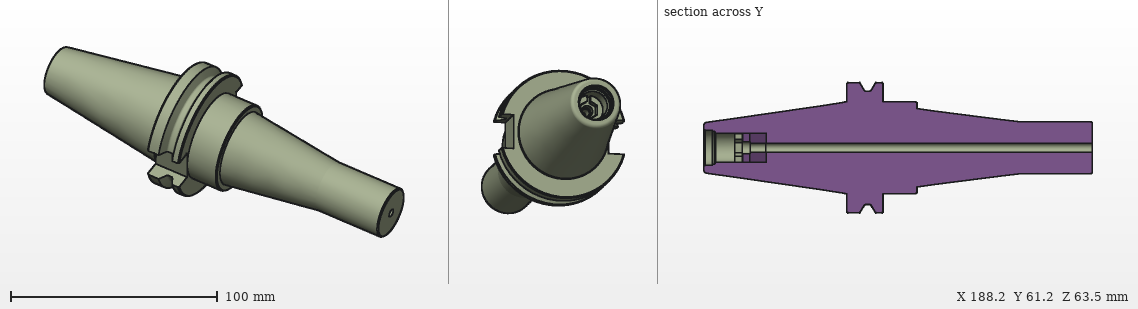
import cadquery as cq
import math

TOTAL_LENGTH = 188.2

GAUGE_DIAMETER = 44.5
TAPER_LENGTH = 68.3
TAPER_RATE = 7 / 24
SMALL_DIAMETER = GAUGE_DIAMETER - TAPER_LENGTH * TAPER_RATE
SMALL_END_FILLET = 1.9

FLANGE_DIAMETER = 63.5
FLANGE_START = 69.3
FLANGE_END = 87.0
FLANGE_CHAMFER = 0.5
GROOVE_CENTER = 79.5
GROOVE_DIAMETER = 55.2
GROOVE_BOTTOM_WIDTH = 2.8
GROOVE_WALL_SLOPE = 60.0
GROOVE_FILLET = 0.8

SLOT_WIDTH = 16.8
SLOT_FLOORS = {1: 24.7, -1: 22.5}

COLLAR_DIAMETER = 44.8
COLLAR_END = 103.3
COLLAR_CHAMFER = 0.5
NOSE_CONE_DIAMETER = 38.2
NOSE_CONE_END = 153.2
NOSE_DIAMETER = 25.5
NOSE_CHAMFER = 0.5

MOUTH_DIAMETER = 17.5
BORE_DIAMETER = 16.8
MOUTH_DEPTH = 1.0
BORE_DEPTH = 4.1
THREAD_MOUTH_DIAMETER = 15.8
THREAD_MOUTH_LENGTH = 1.1
THREAD_DIAMETER = 14.0
THREAD_LEAD_IN = 0.5
SCREW_START = 15.0

SCREW_LENGTH = 7.5
SCREW_HOLE_DIAMETER = 5.5
HEX_SIDES = 6
HEX_ACROSS_FLATS = 8.1
DRIVE_DEPTH = 3.8
SCREW_SLOT_WIDTH = 1.9
PLUG_LENGTH = 7.5
COOLANT_DIAMETER = 4.0


def turned(points):
    """Revolve an (x, radius) outline about the X axis."""
    return cq.Workplane("XY").polyline(points).close().revolve(360, (0, 0, 0), (1, 0, 0))


def cylinder(start, length, diameter):
    """Cylinder along X from X = start."""
    return cq.Workplane("YZ").workplane(offset=start).circle(diameter / 2).extrude(length)


def make_shank():
    collar_radius = COLLAR_DIAMETER / 2
    nose_radius = NOSE_DIAMETER / 2
    shank = turned([
        (0, 0),
        (0, SMALL_DIAMETER / 2),
        (TAPER_LENGTH, GAUGE_DIAMETER / 2),
        (TAPER_LENGTH, collar_radius),
        (COLLAR_END - COLLAR_CHAMFER, collar_radius),
        (COLLAR_END, collar_radius - COLLAR_CHAMFER),
        (COLLAR_END, NOSE_CONE_DIAMETER / 2),
        (NOSE_CONE_END, nose_radius),
        (TOTAL_LENGTH - NOSE_CHAMFER, nose_radius),
        (TOTAL_LENGTH, nose_radius - NOSE_CHAMFER),
        (TOTAL_LENGTH, 0),
    ])
    return shank.faces("<X").edges().fillet(SMALL_END_FILLET)


def make_grooved_disc():
    flange_radius = FLANGE_DIAMETER / 2
    groove_radius = GROOVE_DIAMETER / 2
    bottom_half = GROOVE_BOTTOM_WIDTH / 2
    top_half = bottom_half + (flange_radius - groove_radius) / math.tan(math.radians(GROOVE_WALL_SLOPE))
    disc = turned([
        (FLANGE_START, 0),
        (FLANGE_START, flange_radius),
        (GROOVE_CENTER - top_half, flange_radius),
        (GROOVE_CENTER - bottom_half, groove_radius),
        (GROOVE_CENTER + bottom_half, groove_radius),
        (GROOVE_CENTER + top_half, flange_radius),
        (FLANGE_END, flange_radius),
        (FLANGE_END, 0),
    ])
    disc = disc.faces("<X or >X").edges().chamfer(FLANGE_CHAMFER)
    groove_bottom_edges = cq.selectors.RadiusNthSelector(0)
    return disc.edges("%CIRCLE").edges(groove_bottom_edges).fillet(GROOVE_FILLET)


def make_flange():
    flange = make_grooved_disc()
    for side, floor in SLOT_FLOORS.items():
        slot = cq.Workplane("XY").box(FLANGE_END - FLANGE_START, FLANGE_DIAMETER, SLOT_WIDTH)
        slot = slot.translate(((FLANGE_START + FLANGE_END) / 2, side * (floor + FLANGE_DIAMETER / 2), 0))
        flange = flange.cut(slot)
    return flange


def make_bore():
    bore_end = SCREW_START + SCREW_LENGTH + PLUG_LENGTH
    bore_radius = BORE_DIAMETER / 2
    thread_mouth_radius = THREAD_MOUTH_DIAMETER / 2
    thread_mouth_end = BORE_DEPTH + THREAD_MOUTH_LENGTH
    thread_radius = THREAD_DIAMETER / 2
    return turned([
        (0, 0),
        (0, MOUTH_DIAMETER / 2),
        (MOUTH_DEPTH, bore_radius),
        (BORE_DEPTH, bore_radius),
        (BORE_DEPTH, thread_mouth_radius),
        (thread_mouth_end, thread_mouth_radius),
        (thread_mouth_end + THREAD_LEAD_IN, thread_radius),
        (bore_end, thread_radius),
        (bore_end, 0),
    ])


def make_housing():
    housing = make_shank().union(make_flange())
    coolant_hole = cylinder(0, TOTAL_LENGTH, COOLANT_DIAMETER)
    return housing.cut(make_bore()).cut(coolant_hole)


def make_screw():
    screw = cylinder(SCREW_START, SCREW_LENGTH, THREAD_DIAMETER)
    hole = cylinder(SCREW_START, SCREW_LENGTH, SCREW_HOLE_DIAMETER)
    across_corners = HEX_ACROSS_FLATS / math.cos(math.pi / HEX_SIDES)
    face = cq.Workplane("YZ").workplane(offset=SCREW_START)
    hexagon = face.transformed(rotate=(0, 0, 90)).polygon(HEX_SIDES, across_corners).extrude(DRIVE_DEPTH)
    slot = face.rect(SCREW_SLOT_WIDTH, THREAD_DIAMETER).extrude(DRIVE_DEPTH)
    return screw.cut(hole).cut(hexagon).cut(slot)


def make_plug():
    start = SCREW_START + SCREW_LENGTH
    return cylinder(start, PLUG_LENGTH, THREAD_DIAMETER).cut(cylinder(start, PLUG_LENGTH, COOLANT_DIAMETER))


housing = make_housing()
screw = make_screw()
plug = make_plug()

result = cq.Compound.makeCompound([housing.val(), screw.val(), plug.val()])